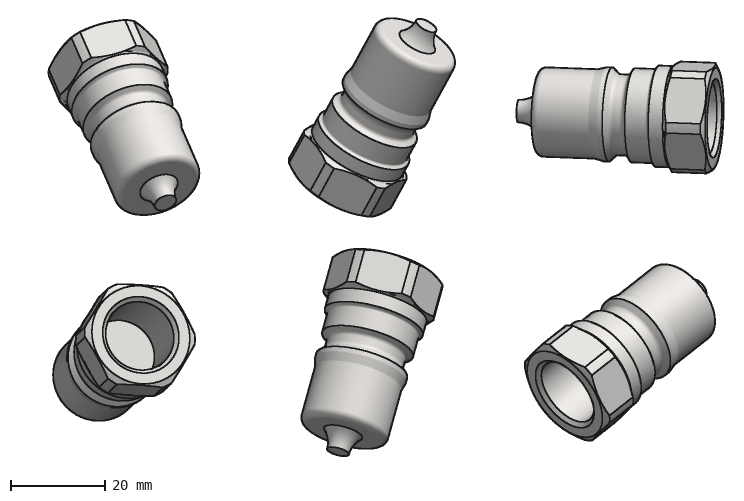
import cadquery as cq
import math

total_length = 42.3
hex_chamfer_length = 0.75
hex_rear_chamfer_start = 8.2
hex_rear_chamfer_end = 8.8
collar_start = 9.2
collar_end = 12.25
collar_bevel_end = 12.4
collar_fillet_start = 12.65
shoulder_start = 13.0
shoulder_end = 17.45
groove_cone_end = 18.1
groove_floor_start = 18.85
groove_floor_end = 20.4
ridge_cone_start = 21.2
ridge_start = 22.35
ridge_end = 23.45
plug_start = 25.4
plug_end = 38.0

hex_across_flats = 22.0
hex_corner_radius = 24.2 / 2
hex_face_radius = 10.75
hex_rear_radius = 11.1
collar_radius = 10.8
collar_bevel_radius = 10.6
collar_fillet_radius = 10.25
shoulder_radius = 10.03
groove_edge_radius = 9.05
groove_radius = 8.65
ridge_cone_radius = 8.9
plug_radius = 9.5
plug_edge_fillet = 1.52
nozzle_base_radius = 4.25
nozzle_tip_radius = 2.4

bore_radius = 7.5
bore_mouth_radius = 8.38
bore_chamfer_length = 0.9
bore_depth = 16.9


def turned_body():
    """Solid of revolution enclosing the whole fitting, with a round head where the hexagon goes."""
    flare_length = total_length - plug_end
    flare_rise = nozzle_base_radius - nozzle_tip_radius
    flare_radius = (flare_length**2 + flare_rise**2) / (2 * flare_rise)

    profile = (
        cq.Workplane("XY")
        .lineTo(0, hex_face_radius)
        .lineTo(hex_chamfer_length, hex_corner_radius)
        .lineTo(hex_rear_chamfer_start, hex_corner_radius)
        .lineTo(hex_rear_chamfer_end, hex_rear_radius)
        .tangentArcPoint((collar_start, collar_radius), relative=False)
        .lineTo(collar_end, collar_radius)
        .lineTo(collar_bevel_end, collar_bevel_radius)
        .lineTo(collar_fillet_start, collar_fillet_radius)
        .tangentArcPoint((shoulder_start, shoulder_radius), relative=False)
        .lineTo(shoulder_end, shoulder_radius)
        .lineTo(groove_cone_end, groove_edge_radius)
        .tangentArcPoint((groove_floor_start, groove_radius), relative=False)
        .lineTo(groove_floor_end, groove_radius)
        .tangentArcPoint((ridge_cone_start, ridge_cone_radius), relative=False)
        .lineTo(ridge_start, shoulder_radius)
        .lineTo(ridge_end, shoulder_radius)
        .lineTo(plug_start, plug_radius)
        .lineTo(plug_end - plug_edge_fillet, plug_radius)
        .tangentArcPoint((plug_end, plug_radius - plug_edge_fillet), relative=False)
        .lineTo(plug_end, nozzle_base_radius)
        .radiusArc((total_length, nozzle_tip_radius), -flare_radius)
        .lineTo(total_length, 0)
        .close()
    )
    return profile.revolve(360, (0, 0, 0), (1, 0, 0))


def hex_envelope():
    """Hexagonal bar with two flats facing up and down; only the head reaches its flats."""
    corner_diameter = hex_across_flats / math.cos(math.pi / 6)
    return cq.Workplane("YZ").polygon(6, corner_diameter).extrude(total_length)


def bore():
    """Blind bore with a chamfered mouth."""
    profile = (
        cq.Workplane("XY")
        .lineTo(0, bore_mouth_radius)
        .lineTo(bore_chamfer_length, bore_radius)
        .lineTo(bore_depth, bore_radius)
        .lineTo(bore_depth, 0)
        .close()
    )
    return profile.revolve(360, (0, 0, 0), (1, 0, 0))


result = turned_body().intersect(hex_envelope()).cut(bore())